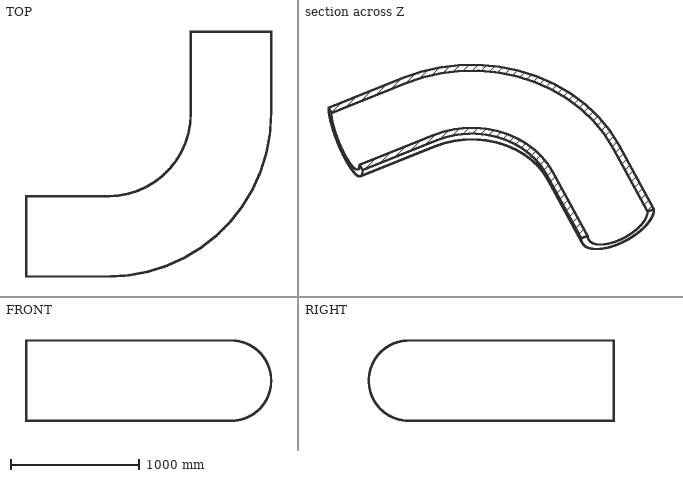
import cadquery as cq

overall_size = 1915.0
outer_diameter = 630.0
inner_diameter = 515.0
leg_length = 642.0

bend_radius = overall_size - leg_length - outer_diameter / 2
bend_angle = 90


def elbow(diameter):
    """Solid round bar: leg along +X, bend towards +Y, leg along +Y."""
    radius = diameter / 2
    inlet_leg = cq.Workplane("YZ").circle(radius).extrude(leg_length)
    bend = (
        cq.Workplane("YZ", origin=(leg_length, 0, 0))
        .circle(radius)
        .revolve(bend_angle, (bend_radius, 0), (bend_radius, 1))
    )
    outlet_leg = (
        cq.Workplane("XZ", origin=(leg_length + bend_radius, bend_radius, 0))
        .circle(radius)
        .extrude(-leg_length)
    )
    return inlet_leg.union(bend).union(outlet_leg)


result = elbow(outer_diameter).cut(elbow(inner_diameter))